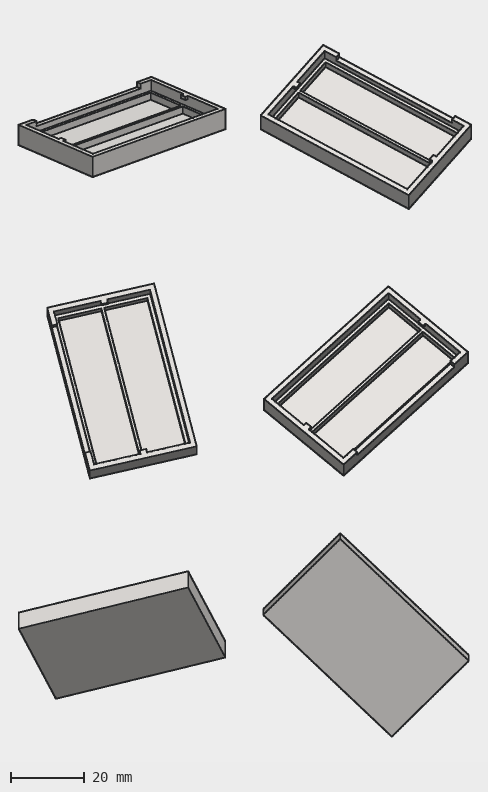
import cadquery as cq

width = 29.9
length = 48.9
height = 6.0
wall = 1.5

ledge_width = 1.0
ledge_depth = 3.2
floor_thickness = 0.75

rib_width = 0.85

tab_width = 1.85
tab_height = 1.0

notch_length = 38.2
notch_depth = 1.45

upper_width = width - 2 * wall
upper_length = length - 2 * wall
lower_width = upper_width - 2 * ledge_width
lower_length = upper_length - 2 * ledge_width
ledge_z = height - ledge_depth


def block(size_x, size_y, bottom, top):
    """Box centred on the Z axis, spanning bottom to top."""
    return cq.Workplane("XY").workplane(offset=bottom).rect(size_x, size_y).extrude(top - bottom)


tray = block(width, length, 0, height)
tray = tray.cut(block(upper_width, upper_length, ledge_z, height))
tray = tray.cut(block(lower_width, lower_length, floor_thickness, ledge_z))

tray = tray.union(block(rib_width, lower_length, floor_thickness, ledge_z))

tab_x = (tab_width - rib_width) / 2
tab_reach = wall + ledge_width
for side in (-1, 1):
    tab_y = side * (length - tab_reach) / 2
    tab = block(tab_width, tab_reach, height - tab_height, height)
    tray = tray.union(tab.translate((tab_x, tab_y, 0)))

notch = block(wall, notch_length, height - notch_depth, height)
result = tray.cut(notch.translate((-(width - wall) / 2, 0, 0)))